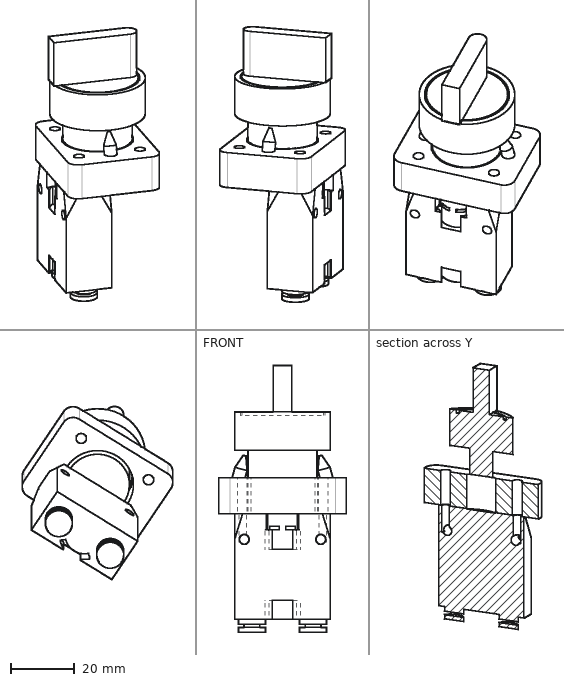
import cadquery as cq
import math

TOTAL_HEIGHT = 83.5
FITTING_FLANGE_HEIGHT = 1.5
FITTING_WAIST_HEIGHT = 1.0
FITTING_HEIGHT = 2 * FITTING_FLANGE_HEIGHT + FITTING_WAIST_HEIGHT
VALVE_HEIGHT = 33.1
PLATE_THICKNESS = 11.35
NECK_EXPOSED_HEIGHT = 8.5
BEZEL_HEIGHT = 12.0

VALVE_BOTTOM = FITTING_HEIGHT
PLATE_BOTTOM = VALVE_BOTTOM + VALVE_HEIGHT
PLATE_TOP = PLATE_BOTTOM + PLATE_THICKNESS
BEZEL_BOTTOM = PLATE_TOP + NECK_EXPOSED_HEIGHT
BEZEL_TOP = BEZEL_BOTTOM + BEZEL_HEIGHT

BEZEL_DIAMETER = 30.0
NECK_DIAMETER = 21.7
STEM_DIAMETER = 20.0
GROOVE_OUTER_DIAMETER = 26.5
GROOVE_INNER_DIAMETER = 25.5
GROOVE_DEPTH = 1.0
LEVER_WIDTH = 5.85
LEVER_FRONT_REACH = 15.2
LEVER_BACK_REACH = GROOVE_INNER_DIAMETER / 2

PLATE_LENGTH = 40.0
PLATE_WIDTH = BEZEL_DIAMETER
PLATE_CORNER_RADIUS = 3.5
STEM_HOLE_DIAMETER = 22.5
MOUNT_HOLE_DIAMETER = 3.25
MOUNT_HOLE_SPACING_X = 25.05
MOUNT_HOLE_SPACING_Y = 20.0
SCREW_DIAMETER = 4.0
SCREW_TIP_DIAMETER = 0.9
SCREW_TILT = 15.0
SCREW_OFFSET = 13.7
SCREW_SHANK_LENGTH = 2.75
SCREW_CONE_LENGTH = 4.35
SCREW_ROOT_LENGTH = 1.25

VALVE_LENGTH = 30.0
VALVE_DEPTH = PLATE_WIDTH / 2
VALVE_AXIS_Y = -VALVE_DEPTH / 2
VALVE_FRONT = -VALVE_DEPTH
CORNER_CUT_HEIGHT = 8.0
CORNER_CUT_X = 2.5
CORNER_CUT_Y = 4.4
CROSS_HOLE_DIAMETER = 3.0
CROSS_HOLE_SPACING = 24.0
CROSS_HOLE_HEIGHT = 29.05
BOLT_HOLE_DIAMETER = 2.4
BOLT_HOLE_DEPTH = 8.8
CORE_DIAMETER = 12.0
WINDOW_WIDTH = 6.35
POCKET_OUTER_DIAMETER = 15.6
POCKET_HALF_ANGLE = 45.0
UPPER_WINDOW_BOTTOM = 26.05
LOWER_WINDOW_TOP = 10.0
SHELF_HEIGHT = 32.1
RECESS_WIDTH = 10.3
RECESS_DEPTH = 3.7
NOTCH_WIDTH = 2.8
NOTCH_HEIGHT = 1.1
NOTCH_OFFSET = 2.5

FITTING_DIAMETER = 8.5
FITTING_WAIST_DIAMETER = 5.0
FITTING_SPACING = 19.1


def cylinder(diameter, bottom, top, x=0.0, y=0.0):
    """Upright cylinder between two heights."""
    return (
        cq.Workplane("XY", origin=(x, y, bottom))
        .circle(diameter / 2)
        .extrude(top - bottom)
    )


def block(x_min, x_max, y_min, y_max, bottom, top):
    """Axis-aligned block given by its limits."""
    return cq.Workplane("XY").box(
        x_max - x_min, y_max - y_min, top - bottom, centered=False
    ).translate((x_min, y_min, bottom))


def make_selector_head():
    """Round bezel with a lever on top and a neck that narrows to a stem inside the plate."""
    bezel = cylinder(BEZEL_DIAMETER, BEZEL_BOTTOM, BEZEL_TOP)
    neck = cylinder(NECK_DIAMETER, PLATE_TOP, BEZEL_BOTTOM)
    stem = cylinder(STEM_DIAMETER, PLATE_BOTTOM, PLATE_TOP)
    groove = (
        cq.Workplane("XY", origin=(0, 0, BEZEL_TOP - GROOVE_DEPTH))
        .circle(GROOVE_OUTER_DIAMETER / 2)
        .circle(GROOVE_INNER_DIAMETER / 2)
        .extrude(GROOVE_DEPTH)
    )
    half_width = LEVER_WIDTH / 2
    round_start = LEVER_BACK_REACH - half_width
    lever = (
        cq.Workplane("XY", origin=(0, 0, BEZEL_TOP))
        .moveTo(-half_width, -LEVER_FRONT_REACH)
        .lineTo(half_width, -LEVER_FRONT_REACH)
        .lineTo(half_width, round_start)
        .threePointArc((0, LEVER_BACK_REACH), (-half_width, round_start))
        .close()
        .extrude(TOTAL_HEIGHT - BEZEL_TOP)
    )
    return bezel.union(neck).union(stem).cut(groove).union(lever)


def make_clamp_screw(side):
    """Pointed screw that leans towards the neck; side is -1 or +1 along X."""
    shank_radius = SCREW_DIAMETER / 2
    cone_end = SCREW_SHANK_LENGTH + SCREW_CONE_LENGTH
    return (
        cq.Workplane("XZ")
        .moveTo(0, -SCREW_ROOT_LENGTH)
        .lineTo(shank_radius, -SCREW_ROOT_LENGTH)
        .lineTo(shank_radius, SCREW_SHANK_LENGTH)
        .lineTo(SCREW_TIP_DIAMETER / 2, cone_end)
        .lineTo(0, cone_end)
        .close()
        .revolve(360, (0, 0, 0), (0, 1, 0))
        .rotate((0, 0, 0), (0, 1, 0), -side * SCREW_TILT)
        .translate((side * SCREW_OFFSET, 0, PLATE_TOP))
    )


def make_mounting_plate():
    """Rounded plate with a clearance hole for the stem, four mounting holes and two clamp screws."""
    plate = (
        cq.Workplane("XY", origin=(0, 0, PLATE_BOTTOM))
        .rect(PLATE_LENGTH, PLATE_WIDTH)
        .extrude(PLATE_THICKNESS)
        .edges("|Z")
        .fillet(PLATE_CORNER_RADIUS)
    )
    plate = plate.cut(cylinder(STEM_HOLE_DIAMETER, PLATE_BOTTOM, PLATE_TOP))
    mount_holes = (
        cq.Workplane("XY", origin=(0, 0, PLATE_BOTTOM))
        .rect(MOUNT_HOLE_SPACING_X, MOUNT_HOLE_SPACING_Y, forConstruction=True)
        .vertices()
        .circle(MOUNT_HOLE_DIAMETER / 2)
        .extrude(PLATE_THICKNESS)
    )
    plate = plate.cut(mount_holes)
    for side in (-1, 1):
        plate = plate.union(make_clamp_screw(side))
    return plate


def make_corner_cut(side_x, side_y):
    """Tetrahedron that slopes off one top corner of the valve block."""
    corner_x = side_x * VALVE_LENGTH / 2
    corner_y = VALVE_AXIS_Y + side_y * VALVE_DEPTH / 2
    corner = cq.Vector(corner_x, corner_y, PLATE_BOTTOM)
    along_x = cq.Vector(corner_x - side_x * CORNER_CUT_X, corner_y, PLATE_BOTTOM)
    along_y = cq.Vector(corner_x, corner_y - side_y * CORNER_CUT_Y, PLATE_BOTTOM)
    below = cq.Vector(corner_x, corner_y, PLATE_BOTTOM - CORNER_CUT_HEIGHT)
    triangles = (
        (corner, along_x, along_y),
        (corner, along_x, below),
        (corner, along_y, below),
        (along_x, along_y, below),
    )
    faces = [cq.Face.makeFromWires(cq.Wire.makePolygon(points, close=True)) for points in triangles]
    return cq.Workplane(obj=cq.Solid.makeSolid(cq.Shell.makeShell(faces)))


def make_bolt_hole(side):
    """Blind hole below a front mounting hole, meeting a cross hole; side is -1 or +1 along X."""
    x = side * MOUNT_HOLE_SPACING_X / 2
    y = -MOUNT_HOLE_SPACING_Y / 2
    return cylinder(BOLT_HOLE_DIAMETER, PLATE_BOTTOM - BOLT_HOLE_DEPTH, PLATE_BOTTOM, x, y)


def make_window(bottom, top):
    """Ring-sector pocket around the round core, open to the front through a narrower window."""
    pocket = cylinder(POCKET_OUTER_DIAMETER, bottom, top, y=VALVE_AXIS_Y)
    sector_reach = POCKET_OUTER_DIAMETER
    sector_half_width = sector_reach * math.tan(math.radians(POCKET_HALF_ANGLE))
    sector = (
        cq.Workplane("XY", origin=(0, VALVE_AXIS_Y, bottom))
        .polyline([(0, 0), (-sector_half_width, -sector_reach), (sector_half_width, -sector_reach)])
        .close()
        .extrude(top - bottom)
    )
    half_width = WINDOW_WIDTH / 2
    window = block(-half_width, half_width, VALVE_FRONT, VALVE_AXIS_Y, bottom, top)
    core = cylinder(CORE_DIAMETER, bottom, top, y=VALVE_AXIS_Y)
    return pocket.intersect(sector).union(window).cut(core)


def make_recess():
    """Front recess below the plate that leaves the round core standing, with two notches in the core."""
    half_width = RECESS_WIDTH / 2
    recess_back = VALVE_FRONT + RECESS_DEPTH
    recess = block(-half_width, half_width, VALVE_FRONT, recess_back, SHELF_HEIGHT, PLATE_BOTTOM)
    recess = recess.cut(cylinder(CORE_DIAMETER, SHELF_HEIGHT, PLATE_BOTTOM, y=VALVE_AXIS_Y))
    for side in (-1, 1):
        notch_left = side * NOTCH_OFFSET - NOTCH_WIDTH / 2
        notch = block(
            notch_left, notch_left + NOTCH_WIDTH, VALVE_FRONT, recess_back,
            SHELF_HEIGHT, SHELF_HEIGHT + NOTCH_HEIGHT,
        )
        recess = recess.union(notch)
    return recess


def make_fitting(x):
    """Tube fitting: two flanges joined by a narrower waist."""
    waist_bottom = FITTING_FLANGE_HEIGHT
    waist_top = waist_bottom + FITTING_WAIST_HEIGHT
    lower_flange = cylinder(FITTING_DIAMETER, 0, waist_bottom, x, VALVE_AXIS_Y)
    waist = cylinder(FITTING_WAIST_DIAMETER, waist_bottom, waist_top, x, VALVE_AXIS_Y)
    upper_flange = cylinder(FITTING_DIAMETER, waist_top, FITTING_HEIGHT, x, VALVE_AXIS_Y)
    return lower_flange.union(waist).union(upper_flange)


def make_valve():
    """Valve block with sloped top corners, cross holes met by bolt holes, front windows and two fittings."""
    half_length = VALVE_LENGTH / 2
    valve = block(-half_length, half_length, VALVE_FRONT, 0, VALVE_BOTTOM, PLATE_BOTTOM)
    for side_x in (-1, 1):
        for side_y in (-1, 1):
            valve = valve.cut(make_corner_cut(side_x, side_y))
    cross_holes = (
        cq.Workplane("XZ", origin=(0, 0, CROSS_HOLE_HEIGHT))
        .pushPoints([(-CROSS_HOLE_SPACING / 2, 0), (CROSS_HOLE_SPACING / 2, 0)])
        .circle(CROSS_HOLE_DIAMETER / 2)
        .extrude(VALVE_DEPTH)
    )
    valve = valve.cut(cross_holes)
    for side in (-1, 1):
        valve = valve.cut(make_bolt_hole(side))
    valve = valve.cut(make_window(UPPER_WINDOW_BOTTOM, SHELF_HEIGHT))
    valve = valve.cut(make_window(VALVE_BOTTOM, LOWER_WINDOW_TOP))
    valve = valve.cut(make_recess())
    for side in (-1, 1):
        valve = valve.union(make_fitting(side * FITTING_SPACING / 2))
    return valve


selector_head = make_selector_head()
mounting_plate = make_mounting_plate()
valve = make_valve()

bodies = (selector_head, mounting_plate, valve)
result = cq.Compound.makeCompound([body.solids().val() for body in bodies])